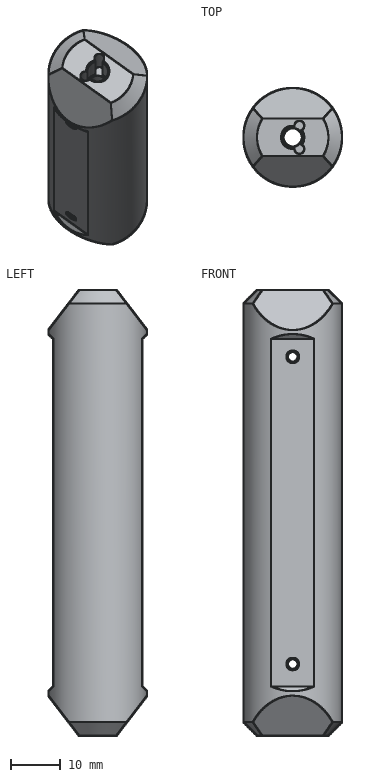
import cadquery as cq

length = 90.0
diameter = 20.0
radius = diameter / 2

end_chamfer = 2.8
tip_width = 7.6
slope_height = 8.1

recess_floor = 9.0
recess_depth = radius - recess_floor
recess_bottom = 10.0
recess_top = 80.1

cross_hole_diameter = 2.0
cross_sink_diameter = 2.5
cross_hole_heights = (14.5, 76.5)

bore_diameter = 3.7
socket_diameter = 4.2
socket_sink_diameter = 4.7
socket_depth = 9.0
side_hole_diameter = 2.0
side_hole_x = 1.35
side_hole_y = 2.3


def bar():
    """Chamfered bar trimmed to the profile with sloped ends."""
    half_tip = tip_width / 2
    profile = [
        (-half_tip, 0),
        (half_tip, 0),
        (radius, slope_height),
        (radius, length - slope_height),
        (half_tip, length),
        (-half_tip, length),
        (-radius, length - slope_height),
        (-radius, slope_height),
    ]
    cylinder = cq.Workplane("XY").circle(radius).extrude(length)
    cylinder = cylinder.faces("<Z or >Z").chamfer(end_chamfer)
    trim = cq.Workplane("YZ").polyline(profile).close().extrude(radius, both=True)
    return cylinder.intersect(trim)


def recess_cutter(side):
    """Cutter for one recess; side is -1 for the front and 1 for the back."""
    profile = [
        (side * recess_floor, recess_bottom),
        (side * radius, recess_bottom - recess_depth),
        (side * radius, recess_top + recess_depth),
        (side * recess_floor, recess_top),
    ]
    return cq.Workplane("YZ").polyline(profile).close().extrude(radius, both=True)


def countersink(mouth, hole_diameter, sink_diameter):
    """45 degree countersink that narrows from the mouth plane, against its normal."""
    depth = (sink_diameter - hole_diameter) / 2
    sink = mouth.circle(sink_diameter / 2).workplane(offset=-depth)
    return sink.circle(hole_diameter / 2).loft(ruled=True)


def cross_hole_cutter(height):
    """Hole along Y at the given height, countersunk at both recess floors."""
    center = (0, 0, height)
    hole = cq.Workplane("XZ", origin=center).circle(cross_hole_diameter / 2).extrude(radius, both=True)
    for direction in (-1, 1):
        floor = cq.Plane(
            origin=(0, direction * recess_floor, height),
            xDir=(1, 0, 0),
            normal=(0, direction, 0),
        )
        hole = hole.union(countersink(cq.Workplane(floor), cross_hole_diameter, cross_sink_diameter))
    return hole


def socket_cutter():
    """Wide, countersunk top of the bore together with its two side holes."""
    top = cq.Workplane("XY", origin=(0, 0, length))
    socket = top.circle(socket_diameter / 2).extrude(-socket_depth)
    side_holes = (
        top.pushPoints([(side_hole_x, -side_hole_y), (side_hole_x, side_hole_y)])
        .circle(side_hole_diameter / 2)
        .extrude(-socket_depth)
    )
    sink = countersink(top, socket_diameter, socket_sink_diameter)
    return socket.union(side_holes).union(sink)


result = bar()
for side in (-1, 1):
    result = result.cut(recess_cutter(side))
for height in cross_hole_heights:
    result = result.cut(cross_hole_cutter(height))
result = result.cut(cq.Workplane("XY").circle(bore_diameter / 2).extrude(length))
result = result.cut(socket_cutter())